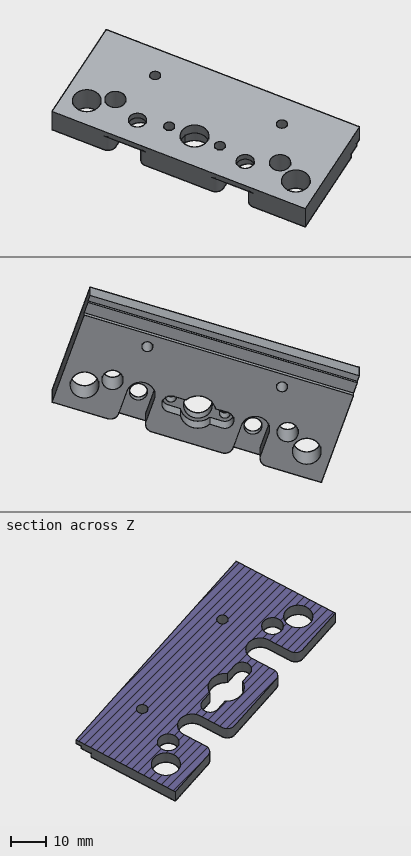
import cadquery as cq

plate_length = 80.0
plate_depth = 34.0
plate_height = 8.0

rear_steps = [(5.2, 1.5), (1.8, 2.5)]

hub_y = 10.0
hub_hole_diameter = 8.1
hub_recess_diameter = 10.1
hub_recess_depth = 4.5
hub_screw_offset = 8.0
hub_slot_width = 5.1
hub_slot_length = 2 * hub_screw_offset + hub_slot_width

front_slot_offset = 17.0
front_slot_width = 8.1
front_slot_end_y = hub_y
front_slot_roof = 2.0
front_slot_mouth_radius = 2.5

paired_holes = [
    (20.0, 25.0, 3.1),
    (33.0, 8.0, 8.1),
    (26.0, 12.0, 6.0),
    (front_slot_offset, 8.0, 5.1),
    (hub_screw_offset, hub_y, 3.1),
]


def stepped_plate():
    plate = cq.Workplane("XY").box(plate_length, plate_depth, plate_height, centered=(True, False, False))
    for inset, rise in rear_steps:
        step = cq.Workplane("XY").box(plate_length, inset, rise, centered=(True, False, False))
        plate = plate.cut(step.translate((0, plate_depth - inset, 0)))
    return plate


def vertical_cylinder(x, y, diameter, height):
    """Cylinder standing on the underside plane."""
    return cq.Workplane("XY").center(x, y).circle(diameter / 2).extrude(height)


def front_slot(x):
    """Slot with a round inner end and a mouth flared by a convex quarter round on each side."""
    half_width = front_slot_width / 2
    flare = front_slot_mouth_radius
    left = x - half_width
    right = x + half_width
    return (
        cq.Workplane("XY")
        .moveTo(left - flare, 0)
        .radiusArc((left, flare), -flare)
        .lineTo(left, front_slot_end_y)
        .threePointArc((x, front_slot_end_y + half_width), (right, front_slot_end_y))
        .lineTo(right, flare)
        .radiusArc((right + flare, 0), -flare)
        .close()
        .extrude(plate_height - front_slot_roof)
    )


def hub_recess():
    """Round recess joined with the round-ended slot that takes in the screw holes on both sides."""
    disc = vertical_cylinder(0, hub_y, hub_recess_diameter, hub_recess_depth)
    slot_outline = cq.Workplane("XY").center(0, hub_y).slot2D(hub_slot_length, hub_slot_width)
    return disc.union(slot_outline.extrude(hub_recess_depth))


result = stepped_plate()

for side in (-1, 1):
    for offset, y, diameter in paired_holes:
        result = result.cut(vertical_cylinder(side * offset, y, diameter, plate_height))
    result = result.cut(front_slot(side * front_slot_offset))

result = result.cut(vertical_cylinder(0, hub_y, hub_hole_diameter, plate_height))
result = result.cut(hub_recess())